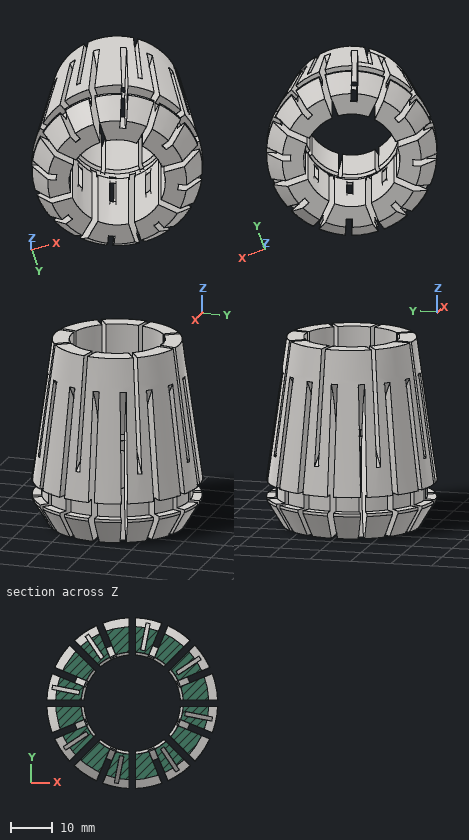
import cadquery as cq
import math

height = 46.0
max_radius = 20.5
top_radius = 15.6
bottom_radius = 16.62

flange_radius = 20.42
nose_cone_height = 6.3
groove_bottom = 7.0
groove_top = 11.0
groove_radius = 18.1

bore_radius = 11.5
relief_radius = 12.2
relief_bottom = 24.0
relief_top = 28.5
relief_bottom_slope = 0.3
relief_top_slope = 0.7

bottom_slot_count = 16
bottom_slot_width = 1.5
bottom_slot_top = 37.85
through_slot_end_height = 26.6
plunge_saw_radius = 43.0
plunge_web_radius = 14.65

top_slot_count = 8
top_slot_width = 1.0
top_slot_bottom = 18.0
top_slot_end_height = 27.4

runout_radius = 29.0

clearance = 2.0

bottom_slot_pitch = 360.0 / bottom_slot_count
top_slot_start_angle = 1.5 * bottom_slot_pitch


def taper_radius(z):
    """Outside radius of the main taper at height z."""
    share = (z - groove_top) / (height - groove_top)
    return max_radius + share * (top_radius - max_radius)


def make_body():
    profile = (
        cq.Workplane("XZ")
        .moveTo(bore_radius, 0)
        .lineTo(bottom_radius, 0)
        .lineTo(flange_radius, nose_cone_height)
        .lineTo(flange_radius, groove_bottom)
        .lineTo(groove_radius, groove_bottom)
        .lineTo(groove_radius, groove_top)
        .lineTo(max_radius, groove_top)
        .lineTo(top_radius, height)
        .lineTo(bore_radius, height)
        .lineTo(bore_radius, relief_top)
        .lineTo(relief_radius, relief_top - relief_top_slope)
        .lineTo(relief_radius, relief_bottom + relief_bottom_slope)
        .lineTo(bore_radius, relief_bottom)
        .close()
    )
    return profile.revolve(360, (0, 0, 0), (0, 1, 0))


def arc_middle(start, end, radius):
    """Middle of the arc from start to end, bulging to the left of that direction."""
    dx = end[0] - start[0]
    dz = end[1] - start[1]
    chord = math.hypot(dx, dz)
    bulge = radius - math.sqrt(radius**2 - (chord / 2) ** 2)
    return (
        (start[0] + end[0]) / 2 - bulge * dz / chord,
        (start[1] + end[1]) / 2 + bulge * dx / chord,
    )


def make_slot(width, inner, outer, open_end):
    """Slot along +X from its round run-out (inner to outer) to an open end of the bore."""
    bulge_start, bulge_end = (inner, outer) if open_end < inner[1] else (outer, inner)
    beyond_bore = bore_radius - clearance
    beyond_taper = max_radius + clearance
    outline = (
        cq.Workplane("XZ")
        .moveTo(*inner)
        .threePointArc(arc_middle(bulge_start, bulge_end, runout_radius), outer)
        .lineTo(beyond_taper, outer[1])
        .lineTo(beyond_taper, open_end)
        .lineTo(beyond_bore, open_end)
        .lineTo(beyond_bore, inner[1])
        .close()
    )
    return outline.extrude(width / 2, both=True)


def make_plunged_slot():
    """Slot along +X whose floor is one long saw arc from the nose to the slot top."""
    nose_end = (plunge_web_radius, 0)
    top_end = (taper_radius(bottom_slot_top), bottom_slot_top)
    beyond_taper = max_radius + clearance
    outline = (
        cq.Workplane("XZ")
        .moveTo(*nose_end)
        .threePointArc(arc_middle(nose_end, top_end, plunge_saw_radius), top_end)
        .lineTo(beyond_taper, bottom_slot_top)
        .lineTo(beyond_taper, 0)
        .close()
    )
    return outline.extrude(bottom_slot_width / 2, both=True)


def cut_around(body, slot, count, start_angle):
    for index in range(count):
        angle = start_angle + index * 360.0 / count
        body = body.cut(slot.rotate((0, 0, 0), (0, 0, 1), angle))
    return body


through_slot = make_slot(
    bottom_slot_width,
    (relief_radius, through_slot_end_height),
    (taper_radius(bottom_slot_top), bottom_slot_top),
    -clearance,
)
top_slot = make_slot(
    top_slot_width,
    (relief_radius, top_slot_end_height),
    (taper_radius(top_slot_bottom), top_slot_bottom),
    height + clearance,
)

result = make_body()
result = cut_around(result, through_slot, bottom_slot_count // 2, 0)
result = cut_around(result, make_plunged_slot(), bottom_slot_count // 2, bottom_slot_pitch)
result = cut_around(result, top_slot, top_slot_count, top_slot_start_angle)